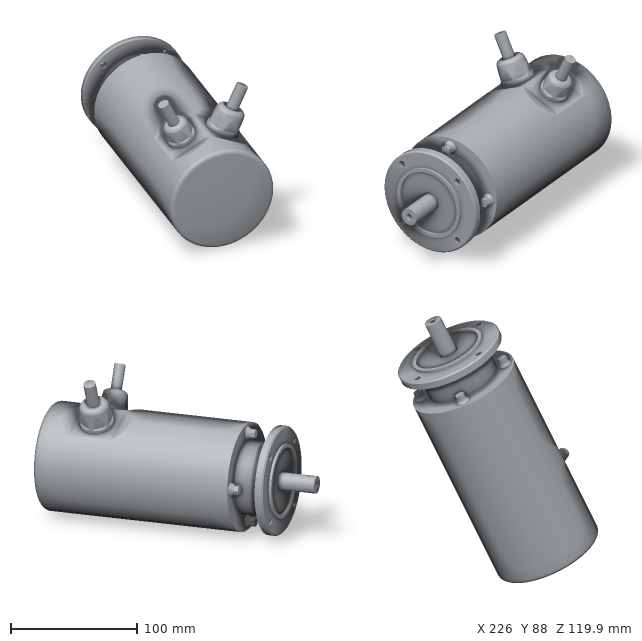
import cadquery as cq
import math

motor_length = 226.0
motor_diameter = 88.0
motor_radius = motor_diameter / 2

shaft_diameter = 14.0
center_hole_mouth_diameter = 6.3
center_hole_relief_diameter = 5.5
center_hole_thread_diameter = 4.5
center_hole_core_diameter = 3.5
center_hole_mouth_depth = 0.5
center_hole_thread_depth = 9.0
center_hole_depth = 12.5

pilot_start = 27.3
pilot_diameter = 60.0
pilot_recess_diameter = 54.0
pilot_recess_depth = 2.7
flange_start = 29.4
flange_end = 36.0
flange_chamfer = 1.1
neck_diameter = 59.0
neck_fillet = 1.8
neck_root_fillet = 0.7
flange_hole_diameter = 5.5
flange_hole_spacing = 52.9

shaft_clearance_diameter = 15.0
shaft_clearance_mouth_diameter = 16.0
shaft_clearance_depth = 2.3

barrel_start = 59.2
barrel_end = 224.6
rear_fillet = 3.5

screw_circle_diameter = 72.8
screw_count = 4
screw_foot_diameter = 10.8
screw_foot_thickness = 0.7
screw_head_diameter = 7.7
screw_tip_diameter = 0.7
screw_tip_start = 51.0
screw_hex_start = 51.8
screw_hex_end = 55.5
screw_cone_start = 56.3

outlet_x = 180.1
outlet_angle = 25.0
pad_radius = 40.2
pad_length = 36.2
pad_end_slope = 20.0
cutter_clearance = 2.3

hex_start = 44.7
hex_ledge_angle = 45.0
gland_bore_depth = 0.7


def cylinder_x(diameter, start, end):
    """Solid round bar on the motor axis between two X positions."""
    return cq.Workplane("YZ").workplane(offset=start).circle(diameter / 2).extrude(end - start)


def cone_x(start_diameter, end_diameter, start, end):
    """Solid cone on the motor axis between two X positions."""
    profile = [(start, 0), (start, start_diameter / 2), (end, end_diameter / 2), (end, 0)]
    return cq.Workplane("XY").polyline(profile).close().revolve(360, (0, 0, 0), (1, 0, 0))


def make_turned_body():
    """Pilot, flange, neck and barrel turned in one profile."""
    neck_radius = neck_diameter / 2
    rear_corner = rear_fillet * (1 - math.sqrt(0.5))
    dome_edge_radius = motor_radius - rear_fillet
    dome_height = motor_length - barrel_end
    dome_radius = (dome_edge_radius**2 + dome_height**2) / (2 * dome_height)
    return (
        cq.Workplane("XY")
        .moveTo(pilot_start, 0)
        .lineTo(pilot_start, pilot_diameter / 2)
        .lineTo(flange_start, pilot_diameter / 2)
        .lineTo(flange_start, motor_radius - flange_chamfer)
        .lineTo(flange_start + flange_chamfer, motor_radius)
        .lineTo(flange_end, motor_radius)
        .lineTo(flange_end, neck_radius + neck_fillet)
        .radiusArc((flange_end + neck_fillet, neck_radius), -neck_fillet)
        .lineTo(barrel_start - neck_root_fillet, neck_radius)
        .radiusArc((barrel_start, neck_radius + neck_root_fillet), -neck_root_fillet)
        .lineTo(barrel_start, motor_radius)
        .lineTo(barrel_end - rear_fillet, motor_radius)
        .threePointArc(
            (barrel_end - rear_corner, motor_radius - rear_corner),
            (barrel_end, dome_edge_radius),
        )
        .radiusArc((motor_length, 0), dome_radius)
        .close()
        .revolve(360, (0, 0, 0), (1, 0, 0))
    )


def make_shaft():
    """Output shaft with a threaded centre hole in its free end."""
    root = pilot_start + pilot_recess_depth + shaft_clearance_depth
    mouth = cone_x(center_hole_mouth_diameter, center_hole_relief_diameter, 0, center_hole_mouth_depth)
    thread = cylinder_x(center_hole_thread_diameter, 0, center_hole_thread_depth)
    core = cylinder_x(center_hole_core_diameter, 0, center_hole_depth)
    return cylinder_x(shaft_diameter, 0, root).cut(mouth).cut(thread).cut(core)


def cut_flange_face(body):
    """Recess in the pilot, clearance around the shaft and the four mounting holes."""
    floor = pilot_start + pilot_recess_depth
    mouth_end = floor + (shaft_clearance_mouth_diameter - shaft_clearance_diameter) / 2
    recess = cylinder_x(pilot_recess_diameter, pilot_start, floor)
    mouth = cone_x(shaft_clearance_mouth_diameter, shaft_clearance_diameter, floor, mouth_end)
    clearance = cylinder_x(shaft_clearance_diameter, floor, floor + shaft_clearance_depth)
    holes = (
        cq.Workplane("YZ")
        .workplane(offset=flange_start)
        .rect(flange_hole_spacing, flange_hole_spacing, forConstruction=True)
        .vertices()
        .circle(flange_hole_diameter / 2)
        .extrude(flange_end - flange_start)
    )
    return body.cut(recess).cut(mouth).cut(clearance).cut(holes)


def make_screw(angle):
    """Hexagon head on a conical foot, with a corner of the hexagon pointing outward."""
    hexagon = (
        cq.Workplane("YZ")
        .workplane(offset=screw_hex_start)
        .polygon(6, screw_head_diameter)
        .extrude(screw_hex_end - screw_hex_start)
    )
    collar = cylinder_x(screw_head_diameter, screw_hex_end, screw_cone_start)
    foot_start = barrel_start - screw_foot_thickness
    cone = cone_x(screw_head_diameter, screw_foot_diameter, screw_cone_start, foot_start)
    foot = cylinder_x(screw_foot_diameter, foot_start, barrel_start)
    tip = cylinder_x(screw_tip_diameter, screw_tip_start, screw_hex_start)
    screw = hexagon.union(collar).union(cone).union(foot).union(tip)
    return screw.translate((0, screw_circle_diameter / 2, 0)).rotate((0, 0, 0), (1, 0, 0), angle)


def place_outlet(shape, angle):
    """Move a shape built around the Z axis to the outlet, leaning by an angle about X."""
    return shape.translate((outlet_x, 0, 0)).rotate((0, 0, 0), (1, 0, 0), -angle)


def make_pad_cutter(angle):
    """Wedge that leaves a flat seat for a gland, with sloping ends along X."""
    depth = motor_radius - pad_radius + cutter_clearance
    end_run = depth / math.tan(math.radians(pad_end_slope))
    inner = pad_length / 2
    outer = inner + end_run
    top = pad_radius + depth
    profile = [(-inner, pad_radius), (inner, pad_radius), (outer, top), (-outer, top)]
    cutter = cq.Workplane("XZ").polyline(profile).close().extrude(motor_radius, both=True)
    return place_outlet(cutter, angle)


def make_motor():
    """Motor in one piece: turned body, shaft, screws and the two gland seats."""
    motor = cut_flange_face(make_turned_body()).union(make_shaft())
    for index in range(screw_count):
        motor = motor.union(make_screw(index * 360 / screw_count))
    for angle in (outlet_angle, -outlet_angle):
        motor = motor.cut(make_pad_cutter(angle))
    return motor


def make_gland_profile(base_diameter, neck_diameter, bore_diameter, shoulder_height, top_height):
    """Turned gland: a cone from the seat to the shoulder, then a round crown down to the bore."""
    neck_radius = neck_diameter / 2
    crown_width = neck_radius - bore_diameter / 2
    crown_height = top_height - shoulder_height
    crown_radius = (crown_width**2 + crown_height**2) / (2 * crown_height)
    bore_floor = top_height - gland_bore_depth
    return (
        cq.Workplane("XZ")
        .moveTo(0, pad_radius)
        .lineTo(base_diameter / 2, pad_radius)
        .lineTo(neck_radius, shoulder_height)
        .radiusArc((bore_diameter / 2, top_height), -crown_radius)
        .lineTo(bore_diameter / 2, bore_floor)
        .lineTo(0, bore_floor)
        .close()
        .revolve(360, (0, 0, 0), (0, 1, 0))
    )


def make_hex_envelope(hex_width, top_height):
    """Hexagonal prism whose flats end on ledges that slope outward and down to the seat."""
    corner_diameter = hex_width / math.cos(math.radians(30))
    base = cq.Workplane("XY").workplane(offset=hex_start)
    prism = base.polygon(6, corner_diameter).extrude(top_height - hex_start)
    skirt = base.polygon(6, corner_diameter).extrude(pad_radius - hex_start, taper=-hex_ledge_angle)
    return prism.union(skirt).rotate((0, 0, 0), (0, 0, 1), 30)


def make_gland(
    angle,
    base_diameter,
    hex_width,
    neck_diameter,
    bore_diameter,
    cable_diameter,
    shoulder_height,
    top_height,
    cable_height,
):
    """Cable gland with its cable; heights are distances from the motor axis."""
    profile = make_gland_profile(base_diameter, neck_diameter, bore_diameter, shoulder_height, top_height)
    nut = profile.intersect(make_hex_envelope(hex_width, top_height))
    cable = (
        cq.Workplane("XY")
        .workplane(offset=pad_radius)
        .circle(cable_diameter / 2)
        .extrude(cable_height - pad_radius)
    )
    return place_outlet(nut.union(cable), angle)


motor = make_motor()
large_gland = make_gland(
    angle=outlet_angle,
    base_diameter=28.2,
    hex_width=24.2,
    neck_diameter=23.5,
    bore_diameter=15.0,
    cable_diameter=10.0,
    shoulder_height=57.9,
    top_height=61.0,
    cable_height=81.4,
)
small_gland = make_gland(
    angle=-outlet_angle,
    base_diameter=24.5,
    hex_width=20.5,
    neck_diameter=20.0,
    bore_diameter=10.8,
    cable_diameter=9.0,
    shoulder_height=55.0,
    top_height=57.9,
    cable_height=78.5,
)
result = cq.Compound.makeCompound([motor.val(), large_gland.val(), small_gland.val()])